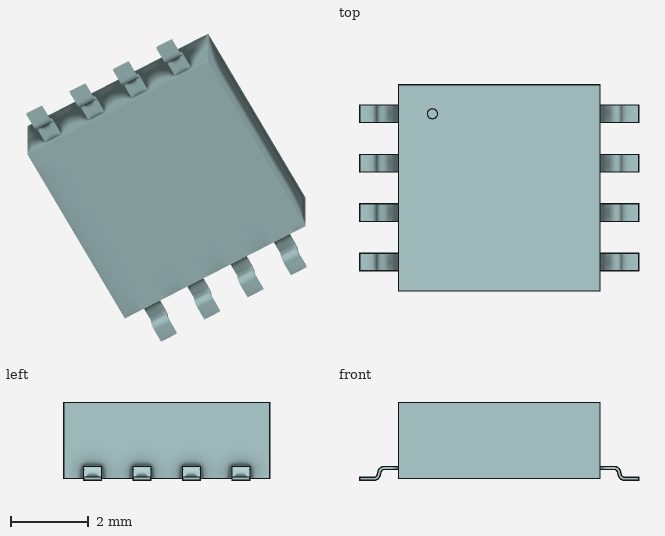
import cadquery as cq
import math

SPAN_X = 7.19
OVERALL_HEIGHT = 2.01

BODY_X = 5.2
BODY_Y = 5.31
STANDOFF = 0.05
BODY_HEIGHT = OVERALL_HEIGHT - STANDOFF

MARKER_DIAMETER = 0.26
MARKER_DEPTH = 0.05
MARKER_FROM_LEFT = 0.88
MARKER_FROM_BACK = 0.75
MARKER_X = -BODY_X / 2 + MARKER_FROM_LEFT
MARKER_Y = BODY_Y / 2 - MARKER_FROM_BACK

LEADS_PER_SIDE = 4
LEAD_PITCH = 1.27
LEAD_WIDTH = 0.46
LEAD_THICKNESS = 0.085
LEAD_HEIGHT = 0.37
FOOT_LENGTH = 0.37
BEND_INNER_RADIUS = 0.085
BEND_OUTER_RADIUS = BEND_INNER_RADIUS + LEAD_THICKNESS
BEND_ANGLE = math.radians(78)

BEND_RADII = BEND_INNER_RADIUS + BEND_OUTER_RADIUS
STEP_HEIGHT = LEAD_HEIGHT - LEAD_THICKNESS
SLOPE_LENGTH = (STEP_HEIGHT - BEND_RADII * (1 - math.cos(BEND_ANGLE))) / math.sin(BEND_ANGLE)
STEP_RUN = BEND_RADII * math.sin(BEND_ANGLE) + SLOPE_LENGTH * math.cos(BEND_ANGLE)


def make_marker():
    """Round disc that fills the recess in the top of the body."""
    return (
        cq.Workplane("XY", origin=(MARKER_X, MARKER_Y, OVERALL_HEIGHT - MARKER_DEPTH))
        .circle(MARKER_DIAMETER / 2)
        .extrude(MARKER_DEPTH)
    )


def make_body(marker):
    """Plain block with a recess for the marker."""
    block = cq.Workplane("XY", origin=(0, 0, STANDOFF)).box(
        BODY_X, BODY_Y, BODY_HEIGHT, centered=(True, True, False)
    )
    return block.cut(marker)


def make_lead(y_center):
    """Left-hand lead: flat foot, S-shaped step and a shoulder that meets the body side."""
    tip_x = -SPAN_X / 2
    body_x = -BODY_X / 2
    lower_x = tip_x + FOOT_LENGTH
    lower_z = LEAD_THICKNESS + BEND_INNER_RADIUS
    upper_x = lower_x + STEP_RUN
    upper_z = LEAD_HEIGHT - BEND_OUTER_RADIUS

    def lower_bend(radius, angle):
        return (lower_x + radius * math.sin(angle), lower_z - radius * math.cos(angle))

    def upper_bend(radius, angle):
        return (upper_x - radius * math.sin(angle), upper_z + radius * math.cos(angle))

    half_angle = BEND_ANGLE / 2
    profile = (
        cq.Workplane("XZ", origin=(0, y_center, 0))
        .moveTo(tip_x, 0)
        .lineTo(*lower_bend(BEND_OUTER_RADIUS, 0))
        .threePointArc(lower_bend(BEND_OUTER_RADIUS, half_angle), lower_bend(BEND_OUTER_RADIUS, BEND_ANGLE))
        .lineTo(*upper_bend(BEND_INNER_RADIUS, BEND_ANGLE))
        .threePointArc(upper_bend(BEND_INNER_RADIUS, half_angle), upper_bend(BEND_INNER_RADIUS, 0))
        .lineTo(body_x, STEP_HEIGHT)
        .lineTo(body_x, LEAD_HEIGHT)
        .lineTo(*upper_bend(BEND_OUTER_RADIUS, 0))
        .threePointArc(upper_bend(BEND_OUTER_RADIUS, half_angle), upper_bend(BEND_OUTER_RADIUS, BEND_ANGLE))
        .lineTo(*lower_bend(BEND_INNER_RADIUS, BEND_ANGLE))
        .threePointArc(lower_bend(BEND_INNER_RADIUS, half_angle), lower_bend(BEND_INNER_RADIUS, 0))
        .lineTo(tip_x, LEAD_THICKNESS)
        .close()
    )
    return profile.extrude(LEAD_WIDTH / 2, both=True)


def make_leads():
    """Matching rows of leads along the left and right sides of the body."""
    leads = []
    for index in range(LEADS_PER_SIDE):
        y_center = (index - (LEADS_PER_SIDE - 1) / 2) * LEAD_PITCH
        left_lead = make_lead(y_center)
        right_lead = left_lead.mirror("YZ")
        leads += [left_lead.val(), right_lead.val()]
    return leads


marker = make_marker()
body = make_body(marker)
leads = make_leads()

result = cq.Compound.makeCompound([body.val(), marker.val(), *leads])